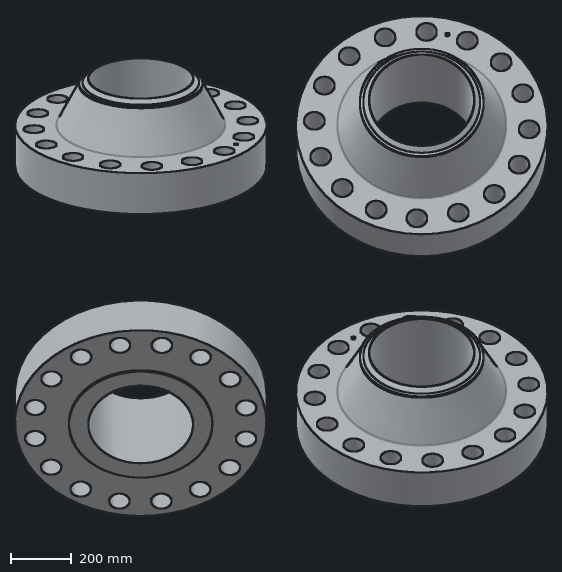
import cadquery as cq
import math

flange_radius = 413.0
flange_thickness = 146.0
face_radius = 235.0
face_height = 7.0
total_height = 318.0

bore_radius = 172.0
neck_radius = 203.0
hub_radius = 276.5
neck_length = 6.0
hub_fillet = 3.0

land_width = 2.0
bevel_radius = 191.5
bevel_angle = 37.5
outer_bevel_angle = 10.0

bolt_count = 16
bolt_circle_radius = 352.0
bolt_hole_diameter = 67.0

pin_hole_diameter = 7.0
countersink_diameter = 13.0
countersink_angle = 90
pin_hole_depth = 25.0

flange_top = face_height + flange_thickness
land_radius = bore_radius + land_width
bevel_bottom = total_height - (bevel_radius - land_radius) * math.tan(math.radians(bevel_angle))
neck_top = bevel_bottom - (neck_radius - bevel_radius) * math.tan(math.radians(outer_bevel_angle))
bolt_pitch_angle = 360 / bolt_count


def revolved_body():
    """Half section in the XZ plane, turned about Z."""
    section = [
        (bore_radius, 0),
        (face_radius, 0),
        (face_radius, face_height),
        (flange_radius, face_height),
        (flange_radius, flange_top),
        (hub_radius, flange_top),
        (neck_radius, neck_top - neck_length),
        (neck_radius, neck_top),
        (bevel_radius, bevel_bottom),
        (land_radius, total_height),
        (bore_radius, total_height),
    ]
    return cq.Workplane("XZ").polyline(section).close().revolve(360, (0, 0), (0, 1))


def round_hub_foot(body):
    """Fillet the circle where the hub cone meets the flange."""
    margin = hub_fillet / 2
    reach = (hub_radius + flange_radius) / 2
    foot = cq.selectors.BoxSelector(
        (-reach, -reach, flange_top - margin),
        (reach, reach, flange_top + margin),
        boundingbox=True,
    )
    return body.edges(foot).fillet(hub_fillet)


def bolt_holes():
    return (
        cq.Workplane("XY")
        .polarArray(bolt_circle_radius, 0, 360, bolt_count)
        .circle(bolt_hole_diameter / 2)
        .extrude(flange_top)
    )


def cut_pin_hole(body):
    angle = math.radians(bolt_pitch_angle / 2)
    center = (bolt_circle_radius * math.cos(angle), bolt_circle_radius * math.sin(angle))
    return (
        body.copyWorkplane(cq.Workplane("XY", origin=(0, 0, flange_top)))
        .pushPoints([center])
        .cskHole(pin_hole_diameter, countersink_diameter, countersink_angle, pin_hole_depth)
    )


result = cut_pin_hole(round_hub_foot(revolved_body()).cut(bolt_holes()))